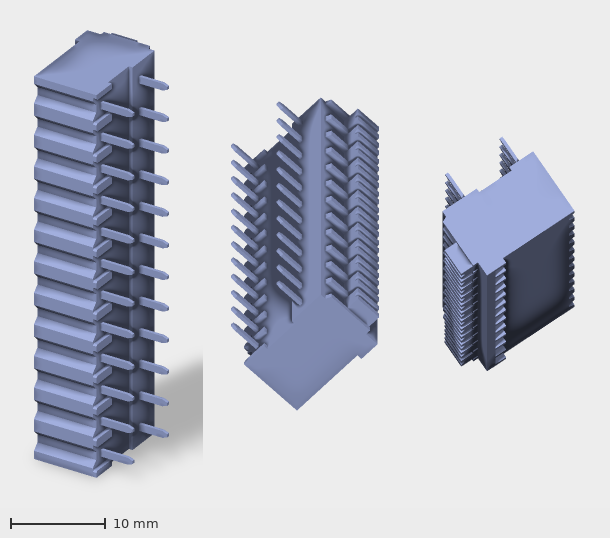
import cadquery as cq

height = 46.1
pole_count = 12
first_pole_z = 2.15
last_pole_z = height - 2.07
pitch = (last_pole_z - first_pole_z) / (pole_count - 1)
pole_heights = [first_pole_z + i * pitch for i in range(pole_count)]

lip_depth = 0.6
housing_right = 8.4
housing_back = 11.57
lip_front = 9.15

recess_back = 10.5
web_thickness = 0.7
end_web_thickness = 0.75

rib_back = 12.15
rib_left = 1.7
rib_right = 7.7
rib_bevel = 0.28
rib_gap_height = 2.8

actuator_left = 1.8
actuator_width = 3.15
actuator_height = 2.65
actuator_back = 13.65
actuator_notch_radius = 0.45

groove_depth = 0.7
groove_mouth = 2.35
groove_floor = 0.95

foot_height = 0.45
foot_left = housing_right - foot_height
front_foot_back = 3.05
rear_foot_front = 7.2
foot_gap_mouth = 3.2
foot_gap_floor = 2.8
foot_bevel_depth = 0.2

pin_end = 11.9
pin_width = 0.85
pin_thickness = 0.35
pin_taper_length = 0.6
pin_tip_width = 0.35
pin_rows_y = (1.75, 8.65)
pin_drop = 0.05


def box(x_range, y_range, z_range):
    """Block spanning the given ranges."""
    sides = [end - start for start, end in (x_range, y_range, z_range)]
    corner = (x_range[0], y_range[0], z_range[0])
    return cq.Workplane("XY").box(*sides, centered=False).translate(corner)


def centred_range(centre, size):
    return (centre - size / 2, centre + size / 2)


def extrude_along_x(points, x_range):
    """Prism with a (y, z) outline."""
    outline = cq.Workplane("YZ").workplane(offset=x_range[0]).polyline(points).close()
    return outline.extrude(x_range[1] - x_range[0])


def housing_blank():
    outline = [
        (lip_depth, 0),
        (housing_right, 0),
        (housing_right, front_foot_back),
        (foot_left, front_foot_back),
        (foot_left, rear_foot_front),
        (housing_right, rear_foot_front),
        (housing_right, housing_back),
        (rib_right, housing_back),
        (rib_right - rib_bevel, rib_back),
        (rib_left, rib_back),
        (rib_left, housing_back),
        (0, housing_back),
        (0, lip_front),
        (lip_depth, lip_front),
    ]
    return cq.Workplane("XY").polyline(outline).close().extrude(height)


def lip_recess():
    """Long recess in the front of the lip, divided by the webs."""
    x_range = (0, lip_depth)
    y_range = (lip_front, recess_back)
    recess = box(x_range, y_range, (end_web_thickness, height - end_web_thickness))
    for z in pole_heights[:-1]:
        recess = recess.cut(box(x_range, y_range, centred_range(z + pitch / 2, web_thickness)))
    return recess


def rib_gap(z):
    return box((rib_left, rib_right), (housing_back, rib_back), centred_range(z, rib_gap_height))


def front_groove(z):
    outline = [
        (0, z - groove_mouth / 2),
        (groove_depth, z - groove_floor / 2),
        (groove_depth, z + groove_floor / 2),
        (0, z + groove_mouth / 2),
    ]
    return extrude_along_x(outline, (lip_depth, foot_left))


def foot_gap(z):
    """Clearance in the front foot, with bevelled front edges."""
    outline = [
        (0, z - foot_gap_mouth / 2),
        (foot_bevel_depth, z - foot_gap_floor / 2),
        (front_foot_back, z - foot_gap_floor / 2),
        (front_foot_back, z + foot_gap_floor / 2),
        (foot_bevel_depth, z + foot_gap_floor / 2),
        (0, z + foot_gap_mouth / 2),
    ]
    return extrude_along_x(outline, (foot_left, housing_right))


def actuator(z):
    x_range = (actuator_left, actuator_left + actuator_width)
    body = box(x_range, (housing_back, actuator_back), centred_range(z, actuator_height))
    notch = (
        cq.Workplane("YZ")
        .workplane(offset=actuator_left)
        .center(actuator_back, z)
        .circle(actuator_notch_radius)
        .extrude(actuator_width)
    )
    return body.cut(notch)


def pin(y, z):
    taper_start = pin_end - pin_taper_length
    outline = [
        (foot_left, z - pin_width / 2),
        (taper_start, z - pin_width / 2),
        (pin_end, z - pin_tip_width / 2),
        (pin_end, z + pin_tip_width / 2),
        (taper_start, z + pin_width / 2),
        (foot_left, z + pin_width / 2),
    ]
    blade = cq.Workplane("XZ").polyline(outline).close().extrude(pin_thickness / 2, both=True)
    return blade.translate((0, y, 0))


result = housing_blank().cut(lip_recess())

for pole_z in pole_heights:
    for cutter in (rib_gap, front_groove, foot_gap):
        result = result.cut(cutter(pole_z))

for pole_z in pole_heights:
    result = result.union(actuator(pole_z))
    for row_y in pin_rows_y:
        result = result.union(pin(row_y, pole_z - pin_drop))